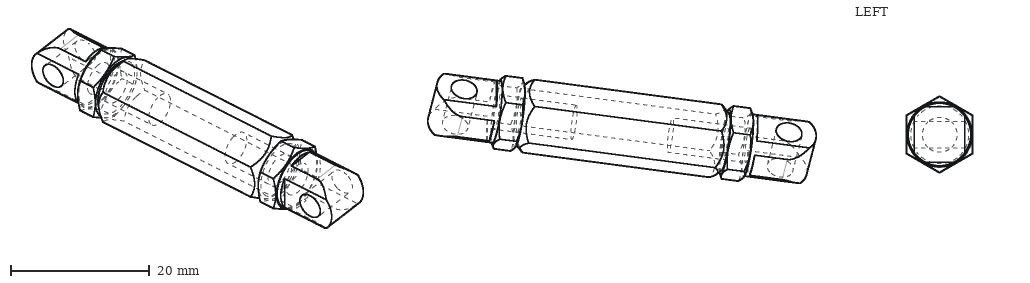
import cadquery as cq

overall_length = 55.55
across_corners = 11.0
corner_radius = across_corners / 2

body_length = 30.1
body_end_radius = 4.15
body_chamfer_length = 1.4

nut_thickness = 3.35
nut_inner_face_radius = 4.7
nut_outer_face_radius = 4.65
nut_inner_chamfer_length = 0.4
nut_outer_chamfer_length = 0.5

bar_diameter = 9.0
eye_width = 7.3
eye_height = 8.0
nose_radius = eye_height / 2
eye_hole_diameter = 3.8
collar_length = 0.65

shank_diameter = 5.0
shank_depth_in_body = 8.0

body_end = body_length / 2
nut_outer_face = body_end + nut_thickness
eye_start = nut_outer_face + collar_length
eye_tip = overall_length / 2
eye_center = eye_tip - nose_radius
shank_tip = body_end - shank_depth_in_body

SIDES = (-1, 1)


def x_cylinder(start, end, diameter):
    """Solid cylinder along the X axis."""
    return cq.Workplane("YZ").workplane(offset=start).circle(diameter / 2).extrude(end - start)


def x_box(start, end, width, height):
    """Block along the X axis, centred on it."""
    return cq.Workplane("YZ").workplane(offset=start).rect(width, height).extrude(end - start)


def chamfered_hexagon(start, start_radius, start_chamfer, end, end_radius, end_chamfer):
    """Hexagonal prism along X, corners up and down, with a turned cone at each end."""
    prism = (
        cq.Workplane("YZ")
        .workplane(offset=start)
        .polygon(6, across_corners)
        .extrude(end - start)
        .rotate((0, 0, 0), (1, 0, 0), 90)
    )
    turned_blank = (
        cq.Workplane("XY")
        .moveTo(start, 0)
        .lineTo(start, start_radius)
        .lineTo(start + start_chamfer, corner_radius)
        .lineTo(end - end_chamfer, corner_radius)
        .lineTo(end, end_radius)
        .lineTo(end, 0)
        .close()
        .revolve(360, (0, 0, 0), (1, 0, 0))
    )
    return prism.intersect(turned_blank)


def on_side(shape, side):
    """Leave a +X shape in place, or turn it half a turn about Z for the -X end."""
    return shape if side > 0 else shape.rotate((0, 0, 0), (0, 0, 1), 180)


def make_body():
    """Hexagonal body with a blind hole for each shank."""
    body = chamfered_hexagon(
        -body_end, body_end_radius, body_chamfer_length,
        body_end, body_end_radius, body_chamfer_length,
    )
    for side in SIDES:
        body = body.cut(on_side(x_cylinder(shank_tip, body_end, shank_diameter), side))
    return body


def make_nut(side):
    """Lock nut with a bore that fits the shank."""
    nut = chamfered_hexagon(
        body_end, nut_inner_face_radius, nut_inner_chamfer_length,
        nut_outer_face, nut_outer_face_radius, nut_outer_chamfer_length,
    )
    nut = nut.cut(x_cylinder(body_end, nut_outer_face, shank_diameter))
    return on_side(nut, side)


def make_rod_end(side):
    """Shank, round collar and flattened eye in one piece."""
    shank = x_cylinder(shank_tip, nut_outer_face, shank_diameter)
    collar = x_cylinder(nut_outer_face, eye_start, bar_diameter)
    nose = (
        cq.Workplane("XZ")
        .center(eye_center, 0)
        .circle(nose_radius)
        .extrude(eye_width / 2, both=True)
    )
    eye = (
        x_box(eye_start, eye_center, eye_width, eye_height)
        .union(nose)
        .intersect(x_cylinder(eye_start, eye_tip, bar_diameter))
    )
    hole = (
        cq.Workplane("XZ")
        .center(eye_center, 0)
        .circle(eye_hole_diameter / 2)
        .extrude(eye_width / 2, both=True)
    )
    return on_side(shank.union(collar).union(eye).cut(hole), side)


body = make_body()
nuts = [make_nut(side) for side in SIDES]
rod_ends = [make_rod_end(side) for side in SIDES]

result = cq.Compound.makeCompound(
    [body.val()] + [nut.val() for nut in nuts] + [rod_end.val() for rod_end in rod_ends]
)